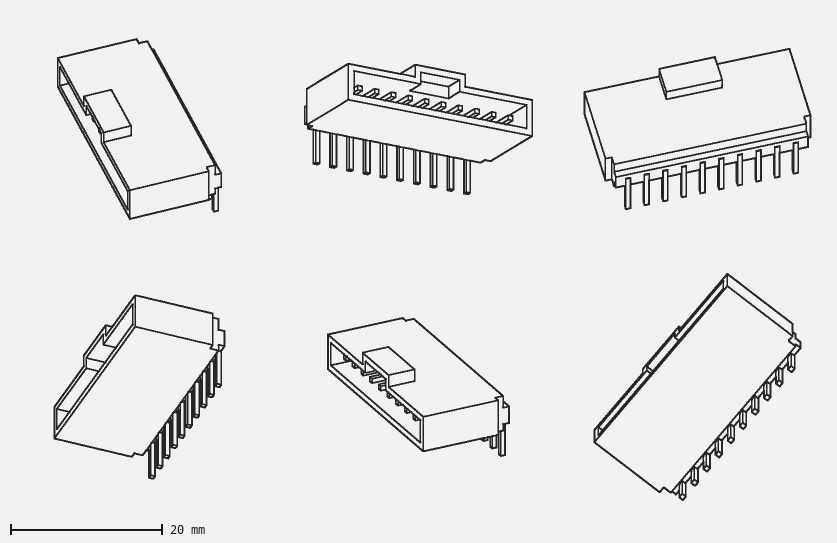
import cadquery as cq


overall_width = 27.94
overall_depth = 13.23
overall_height = 11.18

wall = 0.87
floor_thickness = 0.93
housing_height = 5.08
housing_depth = 12.26
full_width_depth = 11.08
rear_width = overall_width - 2 * wall
cavity_depth = 9.0

key_width = 7.62
key_depth = 3.84
key_height = 1.72
key_roof = 0.93

ledge_bottom = 0.93
ledge_top = 3.36
leg_stand_off = 0.09
ledge_rear = overall_depth - leg_stand_off

contact_count = 10
pitch = 2.54
contact_size = 0.64
pin_height = 2.49
pin_front = 1.27
pin_shift = -0.05
leg_top = 2.56
leg_bottom = housing_height + key_height - overall_height


def block(center_x, width, y_range, z_range):
    """Box centred on center_x, spanning the given Y and Z ranges."""
    y_start, y_end = y_range
    z_start, z_end = z_range
    return (
        cq.Workplane("XY")
        .box(width, y_end - y_start, z_end - z_start, centered=(True, False, False))
        .translate((center_x, y_start, z_start))
    )


def make_housing():
    """Outer shell with its narrower rear, key and rear ledge, before hollowing."""
    shell = block(0, overall_width, (0, full_width_depth), (0, housing_height))
    rear = block(0, rear_width, (full_width_depth, housing_depth), (0, housing_height))
    key = block(0, key_width, (0, key_depth), (housing_height, housing_height + key_height))
    ledge = block(0, rear_width, (housing_depth, ledge_rear), (ledge_bottom, ledge_top))
    return shell.union(rear).union(key).union(ledge)


def make_cavity():
    """Mating cavity open at the front, with the recess inside the key."""
    cavity_top = housing_height - wall
    recess_top = housing_height + key_height - key_roof
    main = block(0, overall_width - 2 * wall, (0, cavity_depth), (floor_thickness, cavity_top))
    recess = block(0, key_width - 2 * wall, (0, key_depth - wall), (cavity_top, recess_top))
    return main.union(recess)


def make_contact(center_x):
    """Horizontal pin in the cavity and vertical solder leg at the rear."""
    half_size = contact_size / 2
    pin = block(
        center_x + pin_shift,
        contact_size,
        (pin_front, housing_depth),
        (pin_height - half_size, pin_height + half_size),
    )
    leg = block(
        center_x,
        contact_size,
        (overall_depth - contact_size, overall_depth),
        (leg_bottom, leg_top),
    )
    return pin.union(leg)


result = make_housing().cut(make_cavity())
for index in range(contact_count):
    contact_x = (index - (contact_count - 1) / 2) * pitch
    result = result.union(make_contact(contact_x))